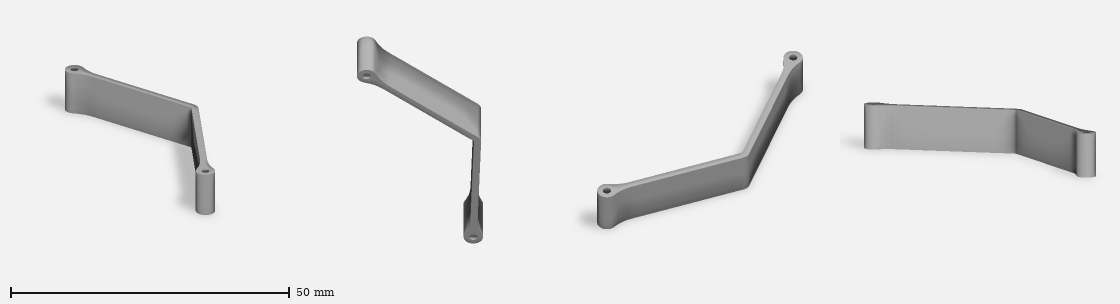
import cadquery as cq
import math

length = 51.5
height = 8.0
eye_radius = 1.75
hole_diameter = 1.5
arm_thickness = 1.3
arm_angle = 25.2
flare_radius = 8.0
inner_bend_radius = 0.5

half_thickness = arm_thickness / 2
outer_bend_radius = inner_bend_radius + arm_thickness
eye_x = length / 2 - eye_radius
slope = math.radians(arm_angle)
apex_y = eye_x * math.tan(slope)
apex_offset = half_thickness / math.cos(slope)
end_offset = half_thickness * math.cos(slope)
end_shift = half_thickness * math.sin(slope)


def make_bent_strip():
    """Constant-thickness V strip running between the two eye centers."""
    outline = [
        (-eye_x - end_shift, end_offset),
        (0, apex_y + apex_offset),
        (eye_x + end_shift, end_offset),
        (eye_x - end_shift, -end_offset),
        (0, apex_y - apex_offset),
        (-eye_x + end_shift, -end_offset),
    ]
    strip = cq.Workplane("XY").polyline(outline).close().extrude(height)
    strip = strip.edges("|Z").edges(cq.selectors.NearestToPointSelector(
        (0, apex_y + apex_offset, height / 2))).fillet(outer_bend_radius)
    return strip.edges("|Z").edges(cq.selectors.NearestToPointSelector(
        (0, apex_y - apex_offset, height / 2))).fillet(inner_bend_radius)


def make_left_eye():
    """Round eye whose concave flares are tangent to the eye and the arm faces."""
    flare_y = half_thickness + flare_radius
    center_distance = eye_radius + flare_radius
    flare_x = math.sqrt(center_distance**2 - flare_y**2)
    tangent_x = eye_radius * flare_x / center_distance
    tangent_y = eye_radius * flare_y / center_distance

    half_sweep = math.asin(flare_x / center_distance) / 2
    middle_x = flare_x - flare_radius * math.sin(half_sweep)
    middle_y = flare_y - flare_radius * math.cos(half_sweep)

    eye = (
        cq.Workplane("XY")
        .moveTo(flare_x, half_thickness)
        .threePointArc((middle_x, middle_y), (tangent_x, tangent_y))
        .threePointArc((-eye_radius, 0), (tangent_x, -tangent_y))
        .threePointArc((middle_x, -middle_y), (flare_x, -half_thickness))
        .close()
        .extrude(height)
    )
    return eye.rotate((0, 0, 0), (0, 0, 1), arm_angle).translate((-eye_x, 0, 0))


left_eye = make_left_eye()
body = make_bent_strip().union(left_eye).union(left_eye.mirror("YZ"))

pin_holes = (
    cq.Workplane("XY")
    .pushPoints([(-eye_x, 0), (eye_x, 0)])
    .circle(hole_diameter / 2)
    .extrude(height)
)
result = body.cut(pin_holes)